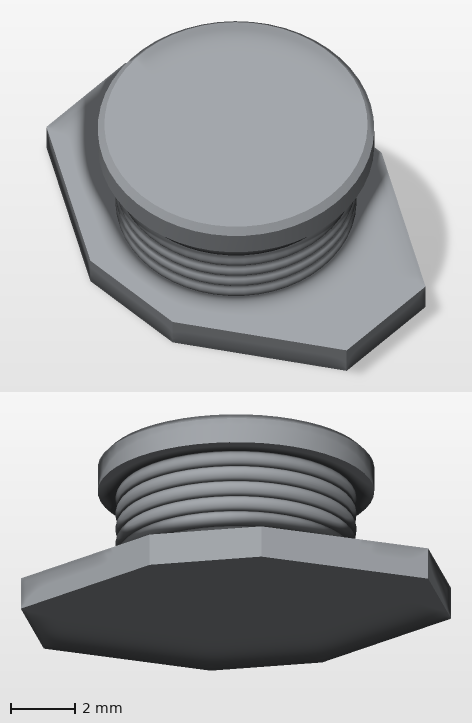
import cadquery as cq

base_length = 12.95
base_width = 9.4
base_flat = 3.55
base_thickness = 1.01

pad_length = 2.54
pad_width = pad_length

total_height = 5.08
cap_diameter = 8.61
cap_thickness = 1.01
cap_chamfer = 0.21

turn_count = 6
winding_clearance = 0.05
winding_diameter = 7.51

cap_bottom = total_height - cap_thickness
winding_height = cap_bottom - base_thickness - winding_clearance
wire_diameter = winding_height / turn_count
wire_radius = wire_diameter / 2
winding_radius = winding_diameter / 2
turn_radius = winding_radius - wire_radius
post_radius = winding_radius - wire_diameter


def make_pad(side):
    """Terminal pad at the -X end (side = -1) or the +X end (side = 1)."""
    center_x = side * (base_length - pad_length) / 2
    return (
        cq.Workplane("XY")
        .center(center_x, 0)
        .rect(pad_length, pad_width)
        .extrude(base_thickness)
    )


def make_base(pads):
    """Octagonal plate with an open notch at each end for its pad."""
    half_length = base_length / 2
    half_width = base_width / 2
    half_flat = base_flat / 2
    outline = [
        (half_length, -half_flat),
        (half_length, half_flat),
        (half_flat, half_width),
        (-half_flat, half_width),
        (-half_length, half_flat),
        (-half_length, -half_flat),
        (-half_flat, -half_width),
        (half_flat, -half_width),
    ]
    base = cq.Workplane("XY").polyline(outline).close().extrude(base_thickness)
    for pad in pads:
        base = base.cut(pad)
    return base


def make_core():
    """Post standing on the base, joined to the cap above it."""
    cap = (
        cq.Workplane("XY", origin=(0, 0, cap_bottom))
        .circle(cap_diameter / 2)
        .extrude(cap_thickness)
        .faces(">Z")
        .chamfer(cap_chamfer)
    )
    post = (
        cq.Workplane("XY", origin=(0, 0, base_thickness))
        .circle(post_radius)
        .extrude(cap_bottom - base_thickness)
    )
    return cap.union(post)


def make_turn(index):
    """One ring of wire around the post; index 0 touches the cap."""
    center_z = cap_bottom - wire_radius - index * wire_diameter
    return (
        cq.Workplane("XZ")
        .center(turn_radius, center_z)
        .circle(wire_radius)
        .revolve(360, (-turn_radius, 0), (-turn_radius, 1))
    )


pads = [make_pad(side) for side in (-1, 1)]
base = make_base(pads)
core = make_core()
turns = [make_turn(index) for index in range(turn_count)]

result = cq.Compound.makeCompound(
    [base.val(), core.val()]
    + [pad.val() for pad in pads]
    + [turn.val() for turn in turns]
)